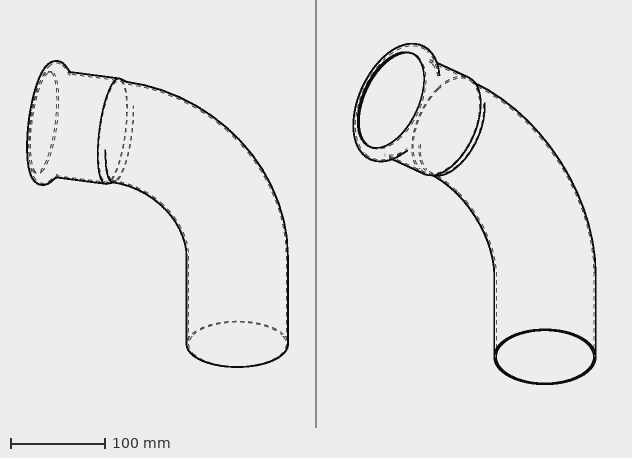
import cadquery as cq
import math

total_height = 300.5
total_length = 269.0
wall = 2.0

pipe_diameter = 108.0
spigot_length = 103.7

socket_radius = 56.5
socket_end = 77.2
taper_end = 85.3

bead_outer_radius = 66.5
bead_round = 7.8
bead_slope = math.radians(45)
neck_round = 2.7

pipe_radius = pipe_diameter / 2
socket_axis_z = total_height - bead_outer_radius
pipe_axis_x = total_length - pipe_radius
bend_height = socket_axis_z - spigot_length
bend_run = pipe_axis_x - taper_end
bend_radius = (bend_height + bend_run) / 2
bend_start_x = pipe_axis_x - bend_radius
bend_end_z = socket_axis_z - bend_radius
bead_center_radius = bead_outer_radius - bead_round


def arc_point(center, radius, angle):
    """Point on a circle in the (axial, radial) plane."""
    return (center[0] + radius * math.cos(angle), center[1] + radius * math.sin(angle))


def socket_body(inset):
    """Solid of revolution of the socket skin, moved inwards by inset."""
    bead_center = (bead_round, bead_center_radius)
    bead_radius = bead_round - inset
    normal = math.pi / 2 - bead_slope

    neck_center_radius = socket_radius - inset + neck_round
    drop = bead_center_radius - neck_center_radius
    neck_center_x = bead_round + (
        bead_radius + neck_round + drop * math.sin(normal)
    ) / math.cos(normal)
    neck_center = (neck_center_x, neck_center_radius)

    profile = (
        cq.Workplane("XZ")
        .moveTo(inset, 0)
        .lineTo(inset, bead_center_radius)
        .threePointArc(
            arc_point(bead_center, bead_radius, (math.pi + normal) / 2),
            arc_point(bead_center, bead_radius, normal),
        )
        .lineTo(*arc_point(neck_center, neck_round, math.pi + normal))
        .threePointArc(
            arc_point(neck_center, neck_round, math.pi + (normal + math.pi / 2) / 2),
            arc_point(neck_center, neck_round, 3 * math.pi / 2),
        )
        .lineTo(socket_end, socket_radius - inset)
        .lineTo(bend_start_x, pipe_radius - inset)
        .lineTo(bend_start_x, 0)
        .close()
    )
    return profile.revolve(360, (0, 0, 0), (1, 0, 0)).translate((0, 0, socket_axis_z))


def pipe_body(inset):
    """Solid straight pipe with the quarter bend on top, moved inwards by inset."""
    radius = pipe_radius - inset
    straight = cq.Workplane("XY").center(pipe_axis_x, 0).circle(radius).extrude(bend_end_z)
    bend = (
        cq.Workplane("XY", origin=(pipe_axis_x, 0, bend_end_z))
        .circle(radius)
        .revolve(90, (-bend_radius, 0, 0), (-bend_radius, -1, 0))
    )
    return straight.union(bend)


def elbow_body(inset):
    """Whole elbow as a solid, moved inwards by inset."""
    return socket_body(inset).union(pipe_body(inset))


def mouth_opening():
    """Round opening through the flat lip, in line with the socket bore."""
    return (
        cq.Workplane("YZ")
        .center(0, socket_axis_z)
        .circle(socket_radius - wall)
        .extrude(socket_end)
    )


result = elbow_body(0).cut(elbow_body(wall)).cut(mouth_opening())